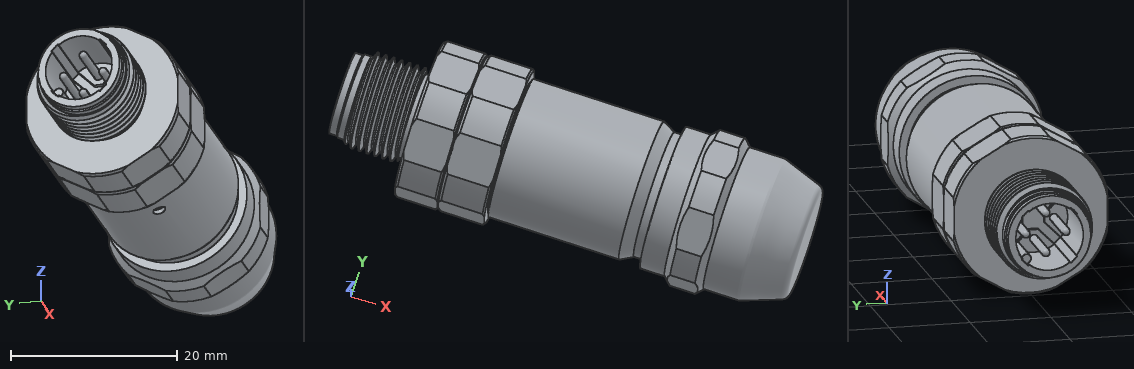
import cadquery as cq
import math


TOTAL_LENGTH = 58.8
TIP_END = 0.95
TIP_GROOVE_END = 1.1
THREAD_START = 2.0
THREAD_END = 8.9
FRONT_NUT_START = 9.8
FRONT_NUT_END = 15.15
REAR_NUT_START = 15.35
REAR_NUT_END = 21.15
BODY_START = 21.4
BODY_END = 38.0
NECK_START = 39.6
NECK_END = 40.75
CAP_HEX_START = 43.85
CAP_HEX_END = 48.8
TAPER_START = 53.3

TIP_DIAMETER = 10.25
TIP_GROOVE_DIAMETER = 9.7
SLEEVE_DIAMETER = 10.6
NUT_GAP_DIAMETER = 16.5
BODY_DIAMETER = 17.5
NECK_DIAMETER = 15.8
CAP_DIAMETER = 18.0
TAPER_ANGLE = 19.5
TAPER_BLEND_RADIUS = 1.0

HEX_ACROSS_FLATS = 19.0
HEX_CORNER_DIAMETER = 19.75
NUT_FRONT_CHAMFER = 0.35
NUT_BACK_CHAMFER = 0.25
NUT_CHAMFER_DEPTH = 0.25

THREAD_DIAMETER = 12.0
THREAD_PITCH = 1.0
THREAD_BASE_WIDTH = 0.8
THREAD_CREST_WIDTH = 0.1
THREAD_TURNS = 8
THREAD_CHAMFER = 0.5
THREAD_SINK = 0.05
HELIX_START = 1.3

BORE_DIAMETER = 8.35
BORE_DEPTH = 8.25
SLOT_SPAN = 8.6
SLOT_WIDTH = 1.1
SLOT_ANGLES = (45, 135)
SLOT_DEPTH = 0.6
ISLAND_TIP_OFFSET = 1.35
PIN_DIAMETER = 1.0
PIN_NOSE_RATIO = 0.49
PIN_CIRCLE_RADIUS = 2.45
PIN_RECESS = 1.45
KEY_CENTER_RADIUS = 3.8
KEY_RECESS = 0.6
KEY_SINK = 0.05

DIMPLE_DIAMETER = 1.5
DIMPLE_DEPTH = 0.6
DIMPLE_POSITION = 24.95
DIMPLE_ANGLE = 72.0


def cylinder(start, end, diameter):
    """Round bar on the part axis between two stations."""
    return cq.Workplane("YZ", origin=(start, 0, 0)).circle(diameter / 2).extrude(end - start)


def revolve_profile(points):
    """Solid of revolution about the X axis; each point is (station, radius)."""
    return cq.Workplane("XY").polyline(points).close().revolve(360, (0, 0, 0), (1, 0, 0))


def body_profile():
    """Everything turned on the axis apart from the hexagons and the thread."""
    front = cylinder(0, TIP_END, TIP_DIAMETER)
    front = front.union(cylinder(TIP_END, TIP_GROOVE_END, TIP_GROOVE_DIAMETER))
    front = front.union(cylinder(TIP_GROOVE_END, FRONT_NUT_START, SLEEVE_DIAMETER))
    core = cylinder(FRONT_NUT_START, BODY_START, NUT_GAP_DIAMETER)
    body = revolve_profile([
        (BODY_START, 0),
        (BODY_START, BODY_DIAMETER / 2),
        (BODY_END, BODY_DIAMETER / 2),
        (NECK_START, NECK_DIAMETER / 2),
        (NECK_END, NECK_DIAMETER / 2),
        (NECK_END, 0),
    ])
    taper_drop = (TOTAL_LENGTH - TAPER_START) * math.tan(math.radians(TAPER_ANGLE))
    cap = revolve_profile([
        (NECK_END, 0),
        (NECK_END, CAP_DIAMETER / 2),
        (TAPER_START, CAP_DIAMETER / 2),
        (TOTAL_LENGTH, CAP_DIAMETER / 2 - taper_drop),
        (TOTAL_LENGTH, 0),
    ])
    cap = cap.faces("%CONE").edges().fillet(TAPER_BLEND_RADIUS)
    return front.union(core).union(body).union(cap)


def rounded_hexagon(start, end, front_chamfer, back_chamfer, chamfer_depth):
    """Hexagon with flats on +/-Y, corners turned round and both ends chamfered."""
    corner_diameter = HEX_ACROSS_FLATS / math.cos(math.pi / 6)
    prism = (
        cq.Workplane("YZ", origin=(start, 0, 0))
        .transformed(rotate=(0, 0, 30))
        .polygon(6, corner_diameter)
        .extrude(end - start)
    )
    radius = HEX_CORNER_DIAMETER / 2
    envelope = revolve_profile([
        (start, 0),
        (start, radius - chamfer_depth),
        (start + front_chamfer, radius),
        (end - back_chamfer, radius),
        (end, radius - chamfer_depth),
        (end, 0),
    ])
    return prism.intersect(envelope)


def thread():
    """Right-hand helical ridge, trimmed by a chamfer in front and a flat face behind."""
    root_radius = SLEEVE_DIAMETER / 2 - THREAD_SINK
    crest_radius = THREAD_DIAMETER / 2
    helix = cq.Wire.makeHelix(THREAD_PITCH, THREAD_TURNS * THREAD_PITCH, root_radius)
    ridge = (
        cq.Workplane("XZ")
        .polyline([
            (root_radius, -THREAD_BASE_WIDTH / 2),
            (crest_radius, -THREAD_CREST_WIDTH / 2),
            (crest_radius, THREAD_CREST_WIDTH / 2),
            (root_radius, THREAD_BASE_WIDTH / 2),
        ])
        .close()
        .sweep(cq.Workplane(helix), isFrenet=True)
        .rotate((0, 0, 0), (0, 1, 0), 90)
        .translate((HELIX_START, 0, 0))
    )
    end_radius = crest_radius - THREAD_CHAMFER
    envelope_radius = crest_radius + THREAD_SINK
    envelope = revolve_profile([
        (THREAD_START, 0),
        (THREAD_START, end_radius),
        (THREAD_START + THREAD_CHAMFER + THREAD_SINK, envelope_radius),
        (THREAD_END, envelope_radius),
        (THREAD_END, 0),
    ])
    return ridge.intersect(envelope)


def bore():
    """Blind round bore of the plug; its floor carries the islands and pins."""
    return cylinder(0, BORE_DEPTH, BORE_DIAMETER)


def cross_slots():
    """Diagonal slots, cut slightly into the bore wall and below the bore floor."""
    slots = cq.Workplane("YZ")
    for angle in SLOT_ANGLES:
        slots = slots.union(
            cq.Workplane("YZ")
            .transformed(rotate=(0, 0, angle))
            .rect(SLOT_SPAN, SLOT_WIDTH)
            .extrude(BORE_DEPTH + SLOT_DEPTH)
        )
    core = (
        cq.Workplane("YZ")
        .rect(2 * ISLAND_TIP_OFFSET, 2 * ISLAND_TIP_OFFSET)
        .extrude(BORE_DEPTH + SLOT_DEPTH)
    )
    return slots.union(core)


def pins():
    """Four round-nosed contact pins standing on the islands."""
    pin = cylinder(PIN_RECESS, BORE_DEPTH + SLOT_DEPTH, PIN_DIAMETER)
    pin = pin.faces("<X").edges().fillet(PIN_NOSE_RATIO * PIN_DIAMETER)
    group = cq.Workplane("YZ")
    for quarter in range(4):
        angle = quarter * math.pi / 2
        offset = (0, PIN_CIRCLE_RADIUS * math.cos(angle), PIN_CIRCLE_RADIUS * math.sin(angle))
        group = group.union(pin.translate(offset))
    return group


def key():
    """Round-topped coding key filling the slot on the +Y, -Z diagonal."""
    outer = SLOT_SPAN / 2 + KEY_SINK
    return (
        cq.Workplane("YZ", origin=(KEY_RECESS, 0, 0))
        .transformed(rotate=(0, 0, -45))
        .moveTo(outer, -SLOT_WIDTH / 2)
        .lineTo(KEY_CENTER_RADIUS, -SLOT_WIDTH / 2)
        .threePointArc((KEY_CENTER_RADIUS - SLOT_WIDTH / 2, 0), (KEY_CENTER_RADIUS, SLOT_WIDTH / 2))
        .lineTo(outer, SLOT_WIDTH / 2)
        .close()
        .extrude(BORE_DEPTH + SLOT_DEPTH - KEY_RECESS)
    )


def dimple():
    """Shallow round hole, drilled radially between -Y and -Z."""
    return (
        cq.Workplane("XZ", origin=(DIMPLE_POSITION, 0, 0))
        .workplane(offset=BODY_DIAMETER / 2 - DIMPLE_DEPTH)
        .circle(DIMPLE_DIAMETER / 2)
        .extrude(2 * DIMPLE_DEPTH)
        .rotate((0, 0, 0), (1, 0, 0), DIMPLE_ANGLE)
    )


def coupling_nut(start, end):
    """Hexagon nut of the coupling, lightly chamfered."""
    return rounded_hexagon(start, end, NUT_FRONT_CHAMFER, NUT_BACK_CHAMFER, NUT_CHAMFER_DEPTH)


def cap_hexagon():
    """Wrench hexagon of the cap, chamfered down to the round cap."""
    chamfer = (HEX_CORNER_DIAMETER - CAP_DIAMETER) / 2
    return rounded_hexagon(CAP_HEX_START, CAP_HEX_END, chamfer, chamfer, chamfer)


result = (
    body_profile()
    .union(coupling_nut(FRONT_NUT_START, FRONT_NUT_END))
    .union(coupling_nut(REAR_NUT_START, REAR_NUT_END))
    .union(cap_hexagon())
    .union(thread())
    .cut(bore())
    .cut(cross_slots())
    .union(pins())
    .union(key())
    .cut(dimple())
)